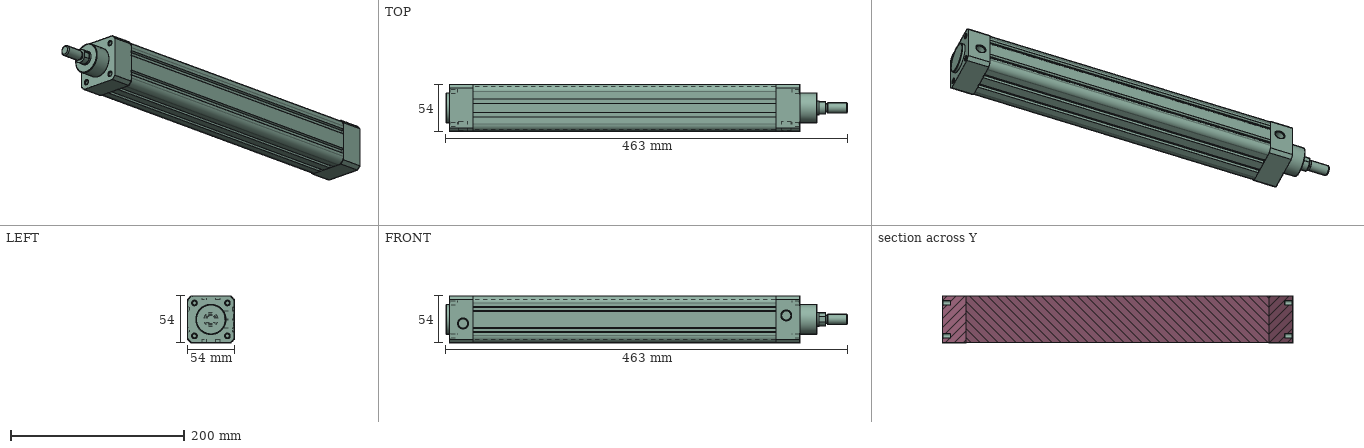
import cadquery as cq


TOTAL_LENGTH = 463.0
WIDTH = 54.0
HALF_WIDTH = WIDTH / 2

CAP_LENGTH = 27.5
CAP_CHAMFER = 4.0
BOSS_DIAMETER = 34.5
BOSS_CHAMFER = 0.7
REAR_BOSS_LENGTH = 3.5
FRONT_BOSS_LENGTH = 20.0
BOLT_PITCH = 38.0
BOLT_HOLE_DIAMETER = 4.5
BOLT_HOLE_DEPTH = 9.3
BOLT_HOLE_CHAMFER = 1.0
PORT_DIAMETER = 10.5
PORT_DEPTH = 11.5
PORT_CHAMFER = 1.0
PORT_INSET = 15.7
PORT_OFFSET = 4.5

BARREL_LENGTH = 349.5
BARREL_CORNER_RADIUS = 8.5
SIDE_GROOVE_OFFSET = 12.0
SIDE_GROOVE_MOUTH = 6.0
SIDE_GROOVE_FLOOR = 3.2
SIDE_GROOVE_DEPTH = 2.5
TOP_GROOVE_OFFSET = 8.0
TOP_GROOVE_WIDTH = 5.0
TOP_GROOVE_DEPTH = 4.0

ROD_DIAMETER = 16.0
ROD_COLLAR_LENGTH = 2.5
FLATS_DIAMETER = 15.7
FLATS_LENGTH = 7.5
ACROSS_FLATS = 14.5
NECK_DIAMETER = 9.5
NECK_LENGTH = 1.5
THREAD_DIAMETER = 12.0
THREAD_CHAMFER = 1.5

REAR_CAP_FACE = REAR_BOSS_LENGTH
BARREL_START = REAR_CAP_FACE + CAP_LENGTH
BARREL_END = BARREL_START + BARREL_LENGTH
FRONT_CAP_FACE = BARREL_END + CAP_LENGTH
ROD_START = FRONT_CAP_FACE + FRONT_BOSS_LENGTH
FLATS_START = ROD_START + ROD_COLLAR_LENGTH
NECK_START = FLATS_START + FLATS_LENGTH
THREAD_START = NECK_START + NECK_LENGTH


def x_cylinder(start, length, diameter):
    """Solid cylinder on the X axis."""
    return cq.Workplane("YZ", origin=(start, 0, 0)).circle(diameter / 2).extrude(length)


def chamfered_cutter(diameter, depth, chamfer):
    """Blind hole cutter entering toward +X from the origin, widened by a 45-degree chamfer at its mouth."""
    radius = diameter / 2
    outline = [
        (0, 0),
        (0, radius + chamfer),
        (chamfer, radius),
        (depth, radius),
        (depth, 0),
    ]
    return cq.Workplane("XY").polyline(outline).close().revolve(360, (0, 0, 0), (1, 0, 0))


def make_cap(boss_length):
    """Cap with its outer face at X = 0, its boss toward -X and its port on the -Y side below the axis."""
    cap = (
        cq.Workplane("YZ")
        .rect(WIDTH, WIDTH)
        .extrude(CAP_LENGTH)
        .edges("|X")
        .chamfer(CAP_CHAMFER)
    )
    bolt_cutter = chamfered_cutter(BOLT_HOLE_DIAMETER, BOLT_HOLE_DEPTH, BOLT_HOLE_CHAMFER)
    for y in (-BOLT_PITCH / 2, BOLT_PITCH / 2):
        for z in (-BOLT_PITCH / 2, BOLT_PITCH / 2):
            cap = cap.cut(bolt_cutter.translate((0, y, z)))
    port_cutter = chamfered_cutter(PORT_DIAMETER, PORT_DEPTH, PORT_CHAMFER).rotate((0, 0, 0), (0, 0, 1), 90)
    cap = cap.cut(port_cutter.translate((PORT_INSET, -HALF_WIDTH, -PORT_OFFSET)))
    boss = x_cylinder(-boss_length, boss_length, BOSS_DIAMETER)
    boss = boss.faces("<X").chamfer(BOSS_CHAMFER)
    return cap.union(boss)


def side_groove(side, z):
    """Trapezoidal groove along the barrel, in the +Y (side 1) or -Y (side -1) face."""
    mouth = SIDE_GROOVE_MOUTH / 2
    floor = SIDE_GROOVE_FLOOR / 2
    mouth_y = side * HALF_WIDTH
    floor_y = side * (HALF_WIDTH - SIDE_GROOVE_DEPTH)
    outline = [(mouth_y, z - mouth), (floor_y, z - floor), (floor_y, z + floor), (mouth_y, z + mouth)]
    return cq.Workplane("YZ", origin=(BARREL_START, 0, 0)).polyline(outline).close().extrude(BARREL_LENGTH)


def top_groove(side, y):
    """Rectangular groove along the barrel, in the top (side 1) or bottom (side -1) face."""
    z = side * (HALF_WIDTH - TOP_GROOVE_DEPTH / 2)
    return (
        cq.Workplane("YZ", origin=(BARREL_START, y, z))
        .rect(TOP_GROOVE_WIDTH, TOP_GROOVE_DEPTH)
        .extrude(BARREL_LENGTH)
    )


def make_barrel():
    """Square profile with rounded corners and two grooves in each face."""
    barrel = (
        cq.Workplane("YZ", origin=(BARREL_START, 0, 0))
        .rect(WIDTH, WIDTH)
        .extrude(BARREL_LENGTH)
        .edges("|X")
        .fillet(BARREL_CORNER_RADIUS)
    )
    for side in (-1, 1):
        for direction in (-1, 1):
            barrel = barrel.cut(side_groove(side, direction * SIDE_GROOVE_OFFSET))
            barrel = barrel.cut(top_groove(side, direction * TOP_GROOVE_OFFSET))
    return barrel


def make_rod():
    """Exposed rod end: collar, wrench flats, neck and threaded tip."""
    collar = x_cylinder(ROD_START, ROD_COLLAR_LENGTH, ROD_DIAMETER)
    flats_envelope = (
        cq.Workplane("YZ", origin=(FLATS_START, 0, 0))
        .rect(ACROSS_FLATS, FLATS_DIAMETER)
        .extrude(FLATS_LENGTH)
    )
    flats = x_cylinder(FLATS_START, FLATS_LENGTH, FLATS_DIAMETER).intersect(flats_envelope)
    neck = x_cylinder(NECK_START, NECK_LENGTH, NECK_DIAMETER)
    thread = x_cylinder(THREAD_START, TOTAL_LENGTH - THREAD_START, THREAD_DIAMETER)
    thread = thread.edges("%CIRCLE").chamfer(THREAD_CHAMFER)
    return collar.union(flats).union(neck).union(thread)


rear_cap = make_cap(REAR_BOSS_LENGTH).translate((REAR_CAP_FACE, 0, 0))
front_cap = make_cap(FRONT_BOSS_LENGTH).rotate((0, 0, 0), (0, 1, 0), 180).translate((FRONT_CAP_FACE, 0, 0))
barrel = make_barrel()
rod = make_rod()

result = cq.Compound.makeCompound([rear_cap.val(), barrel.val(), front_cap.val(), rod.val()])